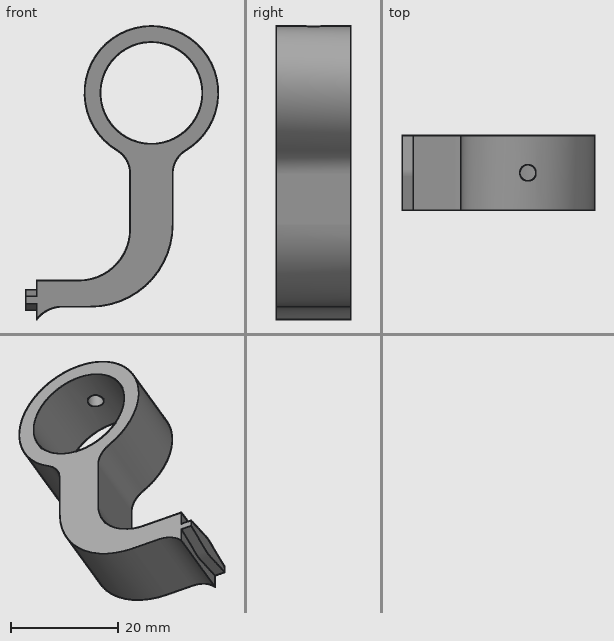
import cadquery as cq
import math

width = 14.0
ring_radius = 12.5
bore_diameter = 19.0
oil_hole_diameter = 3.0

overall_height = 54.9
overall_length = 36.0
stem_width = 8.0
neck_fillet = 5.0
inner_bend_radius = 9.5
outer_bend_radius = 15.35
foot_thickness = 4.95

lip_height = 2.4
lip_radius = 6.05

key_length = 2.05
key_center_height = 3.7
key_end_height = 1.4
key_middle_height = 4.0
key_ridge_radius = 3.0

half_stem = stem_width / 2
lip_edge_z = ring_radius - overall_height
foot_bottom_z = lip_edge_z + lip_height
foot_top_z = foot_bottom_z + foot_thickness
key_tip_x = ring_radius - overall_length
foot_end_x = key_tip_x + key_length


def bend_midpoint(radius, side_x, level_z):
    """Middle of a quarter bend joining a vertical side to a lower horizontal edge."""
    inset = radius * (1 - math.sqrt(0.5))
    return side_x - inset, level_z + inset


def make_arm():
    fillet_x = half_stem + neck_fillet
    center_distance = ring_radius + neck_fillet
    neck_z = -math.sqrt(center_distance**2 - fillet_x**2)
    ring_share = ring_radius / center_distance
    ring_x = fillet_x * ring_share
    ring_z = neck_z * ring_share
    half_sweep = math.atan2(-neck_z, fillet_x) / 2
    middle_x = fillet_x - neck_fillet * math.cos(half_sweep)
    middle_z = neck_z + neck_fillet * math.sin(half_sweep)

    lip_angle = math.acos(1 - lip_height / lip_radius)
    lip_start_x = foot_end_x + lip_radius * math.sin(lip_angle)
    lip_middle = (
        lip_start_x - lip_radius * math.sin(lip_angle / 2),
        foot_bottom_z - lip_radius * (1 - math.cos(lip_angle / 2)),
    )

    return (
        cq.Workplane("XZ")
        .moveTo(-ring_x, ring_z)
        .threePointArc((-middle_x, middle_z), (-half_stem, neck_z))
        .lineTo(-half_stem, foot_top_z + inner_bend_radius)
        .threePointArc(
            bend_midpoint(inner_bend_radius, -half_stem, foot_top_z),
            (-half_stem - inner_bend_radius, foot_top_z),
        )
        .lineTo(foot_end_x, foot_top_z)
        .lineTo(foot_end_x, lip_edge_z)
        .threePointArc(lip_middle, (lip_start_x, foot_bottom_z))
        .lineTo(half_stem - outer_bend_radius, foot_bottom_z)
        .threePointArc(
            bend_midpoint(outer_bend_radius, half_stem, foot_bottom_z),
            (half_stem, foot_bottom_z + outer_bend_radius),
        )
        .lineTo(half_stem, neck_z)
        .threePointArc((middle_x, middle_z), (ring_x, ring_z))
        .threePointArc((0, -ring_radius), (-ring_x, ring_z))
        .close()
        .extrude(width / 2, both=True)
    )


def make_key():
    half_width = width / 2
    half_end = key_end_height / 2
    half_middle = key_middle_height / 2
    outline = [
        (-half_width, -half_end),
        (0, -half_middle),
        (half_width, -half_end),
        (half_width, half_end),
        (0, half_middle),
        (-half_width, half_end),
    ]
    key = (
        cq.Workplane("YZ", origin=(key_tip_x, 0, lip_edge_z + key_center_height))
        .polyline(outline)
        .close()
        .extrude(key_length)
    )
    for ridge in (">Z", "<Z"):
        key = key.edges("|X").edges(ridge).fillet(key_ridge_radius)
    return key


ring = cq.Workplane("XZ").circle(ring_radius).extrude(width / 2, both=True)
bore = cq.Workplane("XZ").circle(bore_diameter / 2).extrude(width / 2, both=True)
oil_hole = cq.Workplane("XY").circle(oil_hole_diameter / 2).extrude(ring_radius)

result = ring.union(make_arm()).union(make_key()).cut(bore).cut(oil_hole)